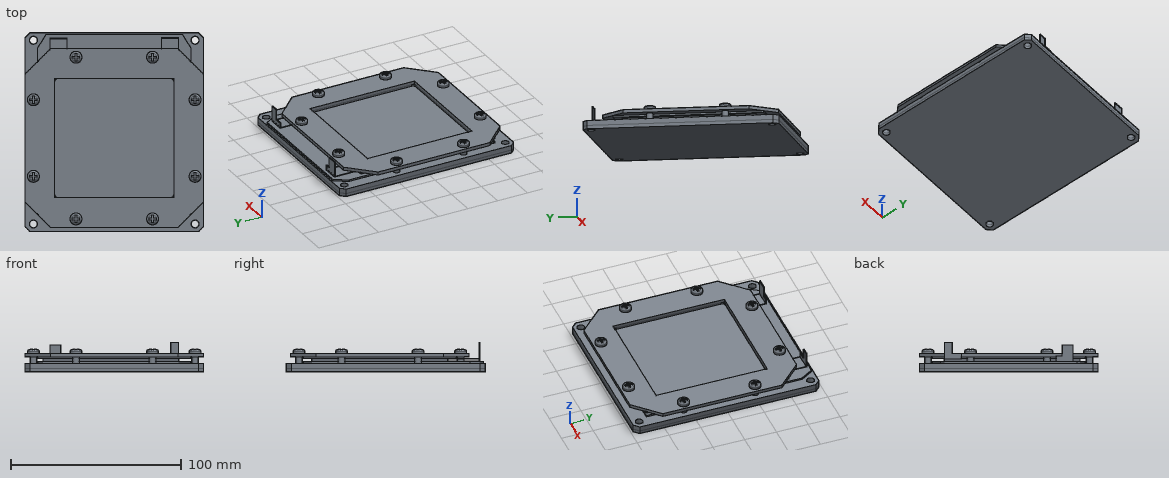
import cadquery as cq

BASE_X = 105.0
BASE_Y = 117.0
BASE_CORNER = 3.0
LOWER_PLATE = 2.0
UPPER_PLATE = 3.0
MOUNT_HOLE_DIAMETER = 4.5
MOUNT_HOLE_X = 47.5
MOUNT_HOLE_Y = 54.0

STACK_Y = -3.5

SHEET_HALF = 45.0
SUPPORT_THICKNESS = 1.0
TONGUE_END_Y = 57.5
TONGUE_CUT_X = 5.0
TONGUE_CUT_Y = 8.0

CELL_SIDE = 80.0
CELL_X = -2.0
ELECTRODE_THICKNESS = 0.4
CORE_THICKNESS = 1.0

COVER_THICKNESS = 1.0
WINDOW_SIDE = 70.0
WINDOW_RADIUS = 2.0
FRAME_SIDE = 105.0
FRAME_CORNER = 15.0
FRAME_THICKNESS = 2.0

TAB_THICKNESS = 0.6
TAB_WIDTH = 10.0
TAB_OUTER_X = 37.8
LOWER_TAB_END_Y = 55.3
UPPER_TAB_END_Y = 55.5
TAB_STRIP_HEIGHT = 3.3
TAB_BLADE_HEIGHT = 9.9
LOWER_BLADE_WIDTH = 6.5
UPPER_BLADE_WIDTH = 4.6

SCREW_OFFSET = 47.5
SCREW_HALF_PITCH = 22.5
SHANK_DIAMETER = 4.0
HEAD_DIAMETER = 7.0
HEAD_SIDE_HEIGHT = 1.2
HEAD_EDGE_RADIUS = 1.4
HEAD_CROWN_DIAMETER = 4.8
HEAD_CROWN_BASE = 2.35
HEAD_HEIGHT = 2.75
HEAD_CROWN_RADIUS = 8.5
RECESS_LENGTH = 4.4
RECESS_WIDTH = 1.05
RECESS_CENTER_SIDE = 1.7
RECESS_DEPTH = 2.0

BASE_TOP = LOWER_PLATE + UPPER_PLATE
SUPPORT_TOP = BASE_TOP + SUPPORT_THICKNESS
CORE_BOTTOM = SUPPORT_TOP + ELECTRODE_THICKNESS
CORE_TOP = CORE_BOTTOM + CORE_THICKNESS
COVER_BOTTOM = CORE_TOP + ELECTRODE_THICKNESS
FRAME_BOTTOM = COVER_BOTTOM + COVER_THICKNESS
FRAME_TOP = FRAME_BOTTOM + FRAME_THICKNESS


def slab(size_x, size_y, bottom, thickness, center_x=0.0, center_y=0.0):
    """Rectangular plate standing on the level `bottom`."""
    plane = cq.Workplane("XY", origin=(center_x, center_y, bottom))
    return plane.rect(size_x, size_y).extrude(thickness)


def base_plate(bottom, thickness):
    holes = [(sx * MOUNT_HOLE_X, sy * MOUNT_HOLE_Y) for sx in (-1, 1) for sy in (-1, 1)]
    drills = (
        cq.Workplane("XY", origin=(0, 0, bottom))
        .pushPoints(holes)
        .circle(MOUNT_HOLE_DIAMETER / 2)
        .extrude(thickness)
    )
    return slab(BASE_X, BASE_Y, bottom, thickness).edges("|Z").chamfer(BASE_CORNER).cut(drills)


def support_sheet():
    tip_x = SHEET_HALF - TONGUE_CUT_X
    shoulder_y = TONGUE_END_Y - TONGUE_CUT_Y
    front_y = STACK_Y - SHEET_HALF
    outline = [
        (-SHEET_HALF, front_y),
        (SHEET_HALF, front_y),
        (SHEET_HALF, shoulder_y),
        (tip_x, TONGUE_END_Y),
        (-tip_x, TONGUE_END_Y),
        (-SHEET_HALF, shoulder_y),
    ]
    plane = cq.Workplane("XY", origin=(0, 0, BASE_TOP))
    return plane.polyline(outline).close().extrude(SUPPORT_THICKNESS)


def cell_layer(bottom, thickness):
    """Square layer of the cell: an electrode plate or the core."""
    return slab(CELL_SIDE, CELL_SIDE, bottom, thickness, CELL_X, STACK_Y)


def cover_sheet():
    side = 2 * SHEET_HALF
    window = slab(WINDOW_SIDE, WINDOW_SIDE, COVER_BOTTOM, COVER_THICKNESS, 0, STACK_Y)
    window = window.edges("|Z").fillet(WINDOW_RADIUS)
    return slab(side, side, COVER_BOTTOM, COVER_THICKNESS, 0, STACK_Y).cut(window)


def clamping_frame():
    window = slab(WINDOW_SIDE, WINDOW_SIDE, FRAME_BOTTOM, FRAME_THICKNESS, 0, STACK_Y)
    frame = slab(FRAME_SIDE, FRAME_SIDE, FRAME_BOTTOM, FRAME_THICKNESS, 0, STACK_Y)
    return frame.edges("|Z").chamfer(FRAME_CORNER).cut(window)


def electrode_tab(side, bottom, end_y, blade_width):
    """Tab on the -X (side=-1) or +X (side=1) half, rising from its electrode."""
    cell_edge = STACK_Y + CELL_SIDE / 2
    tab_x = side * (TAB_OUTER_X - TAB_WIDTH / 2)
    blade_x = side * (TAB_OUTER_X - blade_width / 2)
    length = end_y - cell_edge
    wall_y = end_y - TAB_THICKNESS / 2
    tongue = slab(TAB_WIDTH, length, bottom, ELECTRODE_THICKNESS, tab_x, cell_edge + length / 2)
    strip = slab(TAB_WIDTH, TAB_THICKNESS, bottom, TAB_STRIP_HEIGHT, tab_x, wall_y)
    blade = slab(blade_width, TAB_THICKNESS, bottom, TAB_BLADE_HEIGHT, blade_x, wall_y)
    return tongue.union(strip).union(blade)


def screw():
    """Cross-recessed screw whose shank reaches down to the base."""
    radius = HEAD_DIAMETER / 2
    head = (
        cq.Workplane("XZ")
        .lineTo(radius, 0)
        .lineTo(radius, HEAD_SIDE_HEIGHT)
        .radiusArc((HEAD_CROWN_DIAMETER / 2, HEAD_CROWN_BASE), -HEAD_EDGE_RADIUS)
        .radiusArc((0, HEAD_HEIGHT), -HEAD_CROWN_RADIUS)
        .close()
        .revolve(axisStart=(0, 0, 0), axisEnd=(0, 1, 0))
    )
    floor = HEAD_HEIGHT - RECESS_DEPTH
    for size in ((RECESS_LENGTH, RECESS_WIDTH), (RECESS_WIDTH, RECESS_LENGTH)):
        head = head.cut(slab(*size, floor, RECESS_DEPTH))
    center = slab(RECESS_CENTER_SIDE, RECESS_CENTER_SIDE, floor, RECESS_DEPTH)
    head = head.cut(center.rotate((0, 0, 0), (0, 0, 1), 45))
    shank = cq.Workplane("XY").circle(SHANK_DIAMETER / 2).extrude(BASE_TOP - FRAME_TOP)
    return head.union(shank)


def screw_places():
    for side in (-1, 1):
        for along in (-SCREW_HALF_PITCH, SCREW_HALF_PITCH):
            yield side * SCREW_OFFSET, STACK_Y + along
            yield along, STACK_Y + side * SCREW_OFFSET


parts = [
    base_plate(LOWER_PLATE, UPPER_PLATE),
    support_sheet(),
    cell_layer(SUPPORT_TOP, ELECTRODE_THICKNESS),
    cell_layer(CORE_BOTTOM, CORE_THICKNESS),
    cell_layer(CORE_TOP, ELECTRODE_THICKNESS),
    electrode_tab(-1, SUPPORT_TOP, LOWER_TAB_END_Y, LOWER_BLADE_WIDTH),
    electrode_tab(1, CORE_TOP, UPPER_TAB_END_Y, UPPER_BLADE_WIDTH),
    cover_sheet(),
    clamping_frame(),
]
clamp_screw = screw()
for x, y in screw_places():
    parts.append(clamp_screw.translate((x, y, FRAME_TOP)))

result = base_plate(0, LOWER_PLATE)
for part in parts:
    result = result.union(part, clean=False)